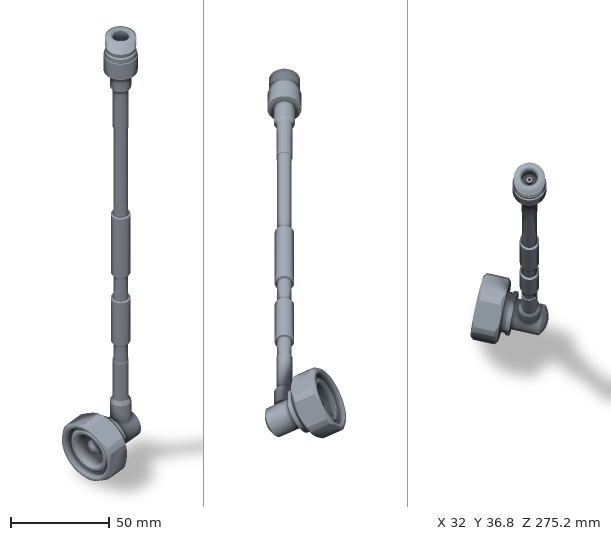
import cadquery as cq
import math


OVERALL_HEIGHT = 275.21
OVERALL_DEPTH = 36.79

CABLE_RADIUS = 3.75
BAND_RADIUS = 4.95
BANDS = [(75.2, 28.1), (119.8, 38.4)]

BOOT_LENGTH = 37.2
BOOT_WIDE_RADIUS = 5.4
BOOT_WIDE_LENGTH = 10.6
BOOT_CONE_LENGTH = 2.3
BOOT_NARROW_RADIUS = 4.1

JACK_LENGTH = 22.6
JACK_BODY_RADIUS = 8.7
JACK_BODY_TOP = 12.4
JACK_COLLAR_RADIUS = 8.1
JACK_COLLAR_TOP = 9.3
JACK_COLLAR_CHAMFER = 0.5
JACK_NECK_RADIUS = 7.2
THREAD_RADIUS = 7.95
THREAD_ROOT_RADIUS = 7.2
THREAD_LENGTH = 7.0
THREAD_COUNT = 8
JACK_RIM_OUTER_RADIUS = 6.2
JACK_RIM_INNER_RADIUS = 5.1
JACK_RIM_CHAMFER = 0.3
JACK_MOUTH_CHAMFER = 0.9
JACK_BORE_RADIUS = 4.2
JACK_BORE_DEPTH = 9.0
SOCKET_RADIUS = 1.5
SOCKET_HEIGHT = 4.5
SOCKET_HOLE_RADIUS = 0.8

NUT_FLATS = 32.0
NUT_CORNER_RADIUS = 17.5
PLUG_AXIS_HEIGHT = NUT_CORNER_RADIUS
NUT_BACK = 13.2
NUT_FACE = 27.1
NUT_CHAMFER_RADIUS = 15.9
NUT_CHAMFER_LENGTH = 1.4
NUT_BORE_RADIUS = 14.0
NUT_MOUTH_RADIUS = 14.8
NUT_MOUTH_DEPTH = 0.7
NUT_FLOOR = 17.0
BARREL_RADIUS = 8.0
CAP_END = NUT_FACE - OVERALL_DEPTH
CAP_SHOULDER = -6.6
FLANGE_BACK = 8.2
FLANGE_FRONT = 10.4
FLANGE_RADIUS = 11.6
FLANGE_HALF_FLATS = 10.6
SLEEVE_RADIUS = 10.5
SHELL_OUTER_RADIUS = 12.7
SHELL_RIM_OUTER_RADIUS = 11.2
SHELL_RIM_INNER_RADIUS = 10.0
SHELL_RIM = 25.0
SHELL_RIM_CHAMFER = 1.4
SHELL_BORE_RADIUS = 8.8
SHELL_FLOOR_RADIUS = 7.7
SHELL_FLOOR = 15.5
PIN_RADIUS = 4.0
PIN_CONE_START = 20.8
PIN_TIP_RADIUS = 1.2
PIN_TIP = 22.6
CABLE_SEAT_OFFSET = 4.0

CABLE_SEAT_HEIGHT = PLUG_AXIS_HEIGHT + CABLE_SEAT_OFFSET
BARREL_TOP = PLUG_AXIS_HEIGHT + BARREL_RADIUS
JACK_BOTTOM = OVERALL_HEIGHT - JACK_LENGTH


def upright_cylinder(radius, bottom, top):
    return cq.Workplane("XY", origin=(0, 0, bottom)).circle(radius).extrude(top - bottom)


def plug_cylinder(radius, start, end):
    """Cylinder on the plug axis between two distances from the cable line."""
    plane = cq.Workplane("XZ", origin=(0, -start, PLUG_AXIS_HEIGHT))
    return plane.circle(radius).extrude(end - start)


def plug_revolve(points):
    """Turn an outline of (radius, distance) points about the plug axis."""
    outline = [(radius, -distance) for radius, distance in points]
    plane = cq.Workplane("XY", origin=(0, 0, PLUG_AXIS_HEIGHT))
    return plane.polyline(outline).close().revolve(360, (0, 0, 0), (0, 1, 0))


def make_cable():
    cable = upright_cylinder(CABLE_RADIUS, CABLE_SEAT_HEIGHT, JACK_BOTTOM)
    for bottom, length in BANDS:
        cable = cable.union(upright_cylinder(BAND_RADIUS, bottom, bottom + length))
    return cable


def make_boot(wide_end, direction):
    """Boot tube whose wide end sits at a height; direction is +1 upward or -1 downward."""
    cone_start = wide_end + direction * BOOT_WIDE_LENGTH
    cone_end = cone_start + direction * BOOT_CONE_LENGTH
    narrow_end = wide_end + direction * BOOT_LENGTH
    outline = [
        (CABLE_RADIUS, wide_end),
        (BOOT_WIDE_RADIUS, wide_end),
        (BOOT_WIDE_RADIUS, cone_start),
        (BOOT_NARROW_RADIUS, cone_end),
        (BOOT_NARROW_RADIUS, narrow_end),
        (CABLE_RADIUS, narrow_end),
    ]
    return cq.Workplane("XZ").polyline(outline).close().revolve(360, (0, 0, 0), (0, 1, 0))


def make_jack():
    pitch = (THREAD_LENGTH - JACK_RIM_CHAMFER) / THREAD_COUNT
    outline = [(0, -JACK_BORE_DEPTH), (JACK_BORE_RADIUS, -JACK_BORE_DEPTH)]
    outline += [
        (JACK_BORE_RADIUS, -JACK_MOUTH_CHAMFER),
        (JACK_RIM_INNER_RADIUS, 0),
        (JACK_RIM_OUTER_RADIUS, 0),
    ]
    for turn in range(THREAD_COUNT):
        root_depth = JACK_RIM_CHAMFER + turn * pitch
        outline.append((THREAD_ROOT_RADIUS, -root_depth))
        outline.append((THREAD_RADIUS, -root_depth - pitch / 2))
    outline += [
        (JACK_NECK_RADIUS, -THREAD_LENGTH),
        (JACK_NECK_RADIUS, -JACK_COLLAR_TOP),
        (JACK_COLLAR_RADIUS - JACK_COLLAR_CHAMFER, -JACK_COLLAR_TOP),
        (JACK_COLLAR_RADIUS, -JACK_COLLAR_TOP - JACK_COLLAR_CHAMFER),
        (JACK_COLLAR_RADIUS, -JACK_BODY_TOP),
        (JACK_BODY_RADIUS, -JACK_BODY_TOP),
        (JACK_BODY_RADIUS, -JACK_LENGTH),
        (0, -JACK_LENGTH),
    ]
    plane = cq.Workplane("XZ", origin=(0, 0, OVERALL_HEIGHT))
    jack = plane.polyline(outline).close().revolve(360, (0, 0, 0), (0, 1, 0))

    floor = OVERALL_HEIGHT - JACK_BORE_DEPTH
    jack = jack.union(upright_cylinder(SOCKET_RADIUS, floor, floor + SOCKET_HEIGHT))
    return jack.cut(upright_cylinder(SOCKET_HOLE_RADIUS, floor, floor + SOCKET_HEIGHT))


def make_nut():
    corner_distance = NUT_FLATS / math.sqrt(3)
    plane = cq.Workplane("XZ", origin=(0, -NUT_BACK, PLUG_AXIS_HEIGHT))
    hexagon = plane.transformed(rotate=(0, 0, 90)).polygon(6, 2 * corner_distance).extrude(NUT_FACE - NUT_BACK)

    blank = plug_revolve([
        (0, NUT_BACK),
        (NUT_CHAMFER_RADIUS, NUT_BACK),
        (NUT_CORNER_RADIUS, NUT_BACK + NUT_CHAMFER_LENGTH),
        (NUT_CORNER_RADIUS, NUT_FACE - NUT_CHAMFER_LENGTH),
        (NUT_CHAMFER_RADIUS, NUT_FACE),
        (0, NUT_FACE),
    ])
    bore = plug_revolve([
        (0, NUT_BACK),
        (SLEEVE_RADIUS, NUT_BACK),
        (SLEEVE_RADIUS, NUT_FLOOR),
        (NUT_BORE_RADIUS, NUT_FLOOR),
        (NUT_BORE_RADIUS, NUT_FACE - NUT_MOUTH_DEPTH),
        (NUT_MOUTH_RADIUS, NUT_FACE),
        (0, NUT_FACE),
    ])
    return hexagon.intersect(blank).cut(bore)


def make_flange():
    """Round flange with a flat on each side."""
    disc = plug_cylinder(FLANGE_RADIUS, FLANGE_BACK, FLANGE_FRONT)
    plane = cq.Workplane("XZ", origin=(0, -FLANGE_BACK, PLUG_AXIS_HEIGHT))
    flats = plane.rect(2 * FLANGE_HALF_FLATS, 2 * FLANGE_RADIUS).extrude(FLANGE_FRONT - FLANGE_BACK)
    return disc.intersect(flats)


def make_cap():
    """Shallow spherical dome that closes the back of the barrel."""
    dome_height = CAP_SHOULDER - CAP_END
    sphere_radius = (BARREL_RADIUS**2 + dome_height**2) / (2 * dome_height)
    sphere = cq.Workplane("XY", origin=(0, -CAP_END - sphere_radius, PLUG_AXIS_HEIGHT)).sphere(sphere_radius)
    return sphere.intersect(plug_cylinder(BARREL_RADIUS, CAP_END, CAP_SHOULDER))


def make_plug():
    barrel = plug_cylinder(BARREL_RADIUS, CAP_SHOULDER, NUT_BACK)
    sleeve = plug_cylinder(SLEEVE_RADIUS, FLANGE_FRONT, NUT_BACK)

    shell = plug_revolve([
        (0, NUT_BACK),
        (SLEEVE_RADIUS, NUT_BACK),
        (SLEEVE_RADIUS, NUT_FLOOR),
        (SHELL_OUTER_RADIUS, NUT_FLOOR),
        (SHELL_OUTER_RADIUS, SHELL_RIM - SHELL_RIM_CHAMFER),
        (SHELL_RIM_OUTER_RADIUS, SHELL_RIM),
        (SHELL_RIM_INNER_RADIUS, SHELL_RIM),
        (SHELL_BORE_RADIUS, SHELL_RIM - SHELL_RIM_CHAMFER),
        (SHELL_FLOOR_RADIUS, SHELL_FLOOR),
        (0, SHELL_FLOOR),
    ])
    pin = plug_revolve([
        (0, SHELL_FLOOR),
        (PIN_RADIUS, SHELL_FLOOR),
        (PIN_RADIUS, PIN_CONE_START),
        (PIN_TIP_RADIUS, PIN_TIP),
        (0, PIN_TIP),
    ])

    plug = barrel.union(make_cap()).union(make_flange()).union(sleeve).union(make_nut()).union(shell).union(pin)
    return plug.cut(upright_cylinder(CABLE_RADIUS, CABLE_SEAT_HEIGHT, BARREL_TOP))


cable = make_cable()
boots = [make_boot(BARREL_TOP, 1), make_boot(JACK_BOTTOM, -1)]
jack = make_jack()
plug = make_plug()

result = cq.Compound.makeCompound([cable.val(), *[boot.val() for boot in boots], jack.val(), plug.val()])